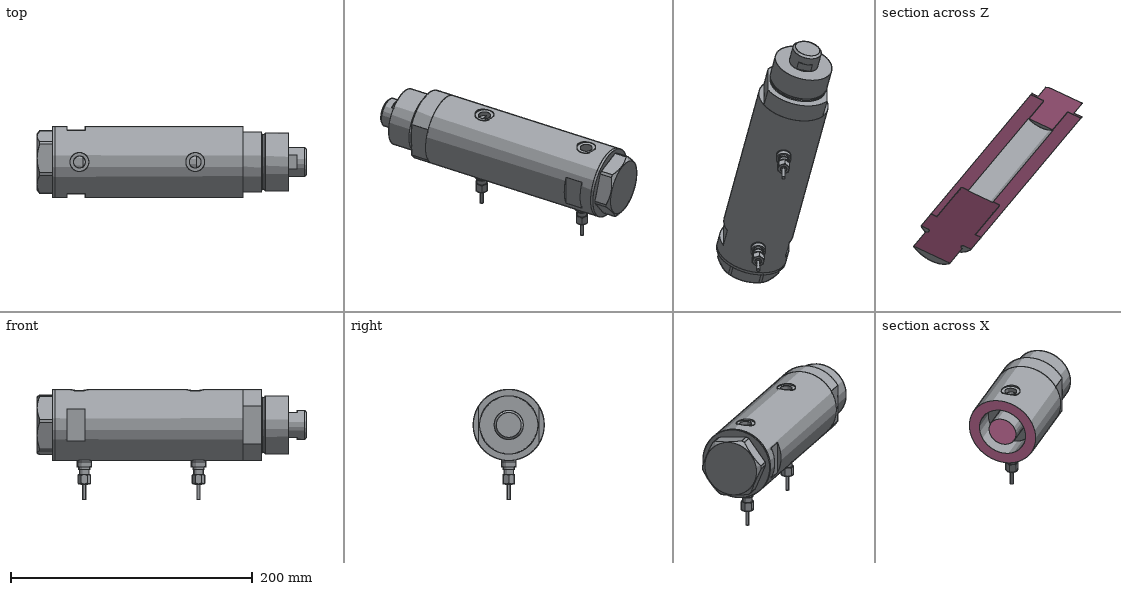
import cadquery as cq
import math


total_length = 223.5
flange_start = 13.0
barrel_start = 15.2
cap_spigot_end = 38.5
head_spigot_start = 132.3
barrel_end = 170.7
head_flange_end = 186.0
boss_start = 189.2
boss_end = 208.5
rod_flat_end = 215.4

barrel_radius = 29.5
bore_radius = 20.0
wrench_flat_start = 25.0
wrench_flat_length = 15.0
wrench_flat_offset = 26.4

port_positions = [35.3, 131.1]
port_radius = 5.0
spotface_radius = 7.8
spotface_level = 28.2

sensor_positions = [39.3, 133.8]
collar_radius = 6.0
sensor_seat_level = -30.5
collar_bottom = -34.6
shoulder_bottom = -36.9
hex_top = -41.0
hex_bottom = -48.7
gland_bottom = -49.4
cable_end = -61.9
shoulder_radius = 4.7
neck_radius = 4.0
gland_radius = 2.7
cable_radius = 1.3
sensor_hex_flats = 9.2
sensor_hex_chamfer = 0.7

cap_hex_flats = 46.5
cap_corner_radius = 26.1
cap_face_radius = 22.8
cap_chamfer_length = 2.5
cap_hex_turn = 7.5

head_flat_offset = 25.0
head_spigot_radius = 24.5
boss_radius = 24.1
groove_radius = 22.8
groove_lip = 0.7
groove_slope_length = 1.1

rod_radius = 12.0
rod_flat_offset = 10.5
rod_chamfer = 1.8


def disc_x(x_start, x_end, radius):
    """Cylinder on the part axis between two stations."""
    return cq.Workplane("YZ", origin=(x_start, 0, 0)).circle(radius).extrude(x_end - x_start)


def revolve_x(points):
    """Turn an (x, radius) outline around the part axis."""
    return cq.Workplane("XY").polyline(points).close().revolve(360, (0, 0, 0), (1, 0, 0))


def disc_z(x, z_low, z_high, radius):
    """Vertical cylinder at station x."""
    return cq.Workplane("XY", origin=(x, 0, z_low)).circle(radius).extrude(z_high - z_low)


def slab(x_start, x_end, size_y, size_z):
    """Block centred on the part axis between two stations."""
    return cq.Workplane("YZ", origin=(x_start, 0, 0)).rect(size_y, size_z).extrude(x_end - x_start)


def cut_flat_pair(body, x_start, x_end, half_y, half_z):
    """Trim a stretch of a turned body to a slab, which leaves two opposite flats."""
    big = 4 * barrel_radius
    waste = slab(x_start, x_end, big, big).cut(slab(x_start, x_end, 2 * half_y, 2 * half_z))
    return body.cut(waste)


def make_cap():
    corner_diameter = cap_hex_flats / math.cos(math.radians(30))
    hexagon = (
        cq.Workplane("YZ")
        .polygon(6, corner_diameter)
        .extrude(flange_start)
        .rotate((0, 0, 0), (1, 0, 0), -cap_hex_turn)
    )
    turned_envelope = revolve_x([
        (0, 0),
        (0, cap_face_radius),
        (cap_chamfer_length, cap_corner_radius),
        (flange_start, cap_corner_radius),
        (flange_start, 0),
    ])
    cap = hexagon.intersect(turned_envelope)
    cap = cap.union(disc_x(flange_start, barrel_start, barrel_radius))
    return cap.union(disc_x(barrel_start, cap_spigot_end, bore_radius))


def make_barrel():
    barrel = disc_x(barrel_start, barrel_end, barrel_radius)
    for x in sensor_positions:
        barrel = barrel.union(disc_z(x, sensor_seat_level, 0, collar_radius))
    barrel = barrel.cut(disc_x(barrel_start, barrel_end, bore_radius))
    barrel = barrel.cut(disc_x(head_spigot_start, barrel_end, head_spigot_radius))
    barrel = cut_flat_pair(
        barrel,
        wrench_flat_start,
        wrench_flat_start + wrench_flat_length,
        wrench_flat_offset,
        2 * barrel_radius,
    )
    for x in port_positions:
        barrel = barrel.cut(disc_z(x, spotface_level, barrel_radius, spotface_radius))
        barrel = barrel.cut(disc_z(x, 0, barrel_radius, port_radius))
    return barrel


def make_head():
    flange = disc_x(barrel_end, head_flange_end, barrel_radius)
    flange = cut_flat_pair(flange, barrel_end, head_flange_end, head_flat_offset, 2 * barrel_radius)
    boss = revolve_x([
        (head_flange_end, 0),
        (head_flange_end, groove_radius + groove_lip),
        (head_flange_end + groove_lip, groove_radius),
        (boss_start - groove_slope_length, groove_radius),
        (boss_start, boss_radius),
        (boss_end, boss_radius),
        (boss_end, 0),
    ])
    spigot = disc_x(head_spigot_start, barrel_end, head_spigot_radius)
    rod_hole = disc_x(head_spigot_start, boss_end, rod_radius)
    return flange.union(boss).union(spigot).cut(rod_hole)


def make_rod():
    rod = disc_x(cap_spigot_end, total_length, rod_radius).faces(">X").chamfer(rod_chamfer)
    return cut_flat_pair(rod, boss_end, rod_flat_end, 2 * rod_radius, rod_flat_offset)


def make_sensor(x):
    corner_diameter = sensor_hex_flats / math.cos(math.radians(30))
    corner_radius = corner_diameter / 2
    nut = (
        cq.Workplane("XY", origin=(x, 0, hex_bottom))
        .polygon(6, corner_diameter)
        .extrude(hex_top - hex_bottom)
    )
    nut = nut.intersect(
        disc_z(x, hex_bottom, hex_top, corner_radius).faces("<Z or >Z").chamfer(sensor_hex_chamfer)
    )
    sensor = disc_z(x, collar_bottom, sensor_seat_level, collar_radius)
    sensor = sensor.union(disc_z(x, shoulder_bottom, collar_bottom, shoulder_radius))
    sensor = sensor.union(disc_z(x, hex_top, shoulder_bottom, neck_radius))
    sensor = sensor.union(nut)
    sensor = sensor.union(disc_z(x, gland_bottom, hex_bottom, gland_radius))
    return sensor.union(disc_z(x, cable_end, gland_bottom, cable_radius))


cap = make_cap()
barrel = make_barrel()
head = make_head()
rod = make_rod()
sensors = [make_sensor(x).val() for x in sensor_positions]

result = cq.Compound.makeCompound([cap.val(), barrel.val(), head.val(), rod.val(), *sensors])